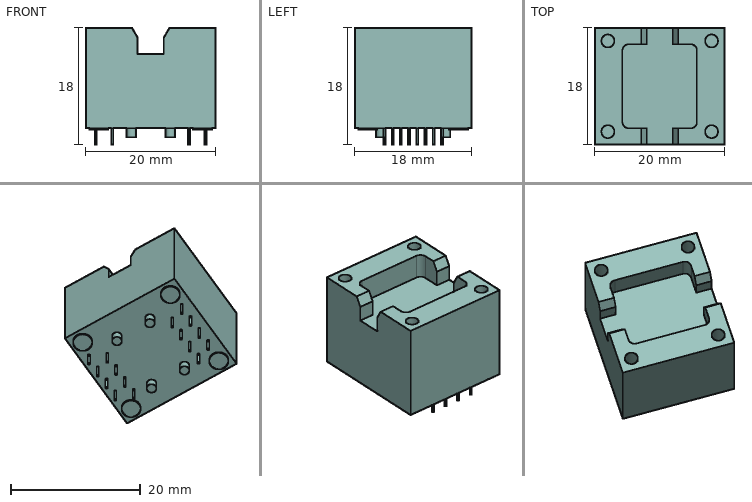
import cadquery as cq
import math

LENGTH = 20.0
WIDTH = 18.0
TOTAL_HEIGHT = 18.0
PIN_LENGTH = 2.55
BODY_HEIGHT = TOTAL_HEIGHT - PIN_LENGTH

POCKET_LENGTH = 11.5
POCKET_WIDTH = 13.0
POCKET_DEPTH = 4.0
POCKET_CORNER_RADIUS = 1.0
SLOT_WIDTH = 4.0
LEAD_IN_DEPTH = 1.5
LEAD_IN_ANGLE = 30.0

CORNER_X = 8.0
CORNER_Y = 7.0
HOLE_DIAMETER = 2.0
HOLE_DEPTH = POCKET_DEPTH
PAD_DIAMETER = 2.95
PAD_HEIGHT = 0.25

PEG_X = 3.0
PEG_Y = 5.0
PEG_DIAMETER = 1.5
PEG_LENGTH = 1.45

PIN_DIAMETER = 0.35
PINS_PER_ROW = 4
PIN_PITCH = 2.55
PIN_STAGGER = PIN_PITCH / 2
OUTER_ROW_X = 8.45
INNER_ROW_X = OUTER_ROW_X - PIN_PITCH

OVERLAP = 0.2


def four_corners(x, y):
    """Points mirrored about both the X and Y axes."""
    return [(side_x * x, side_y * y) for side_x in (-1, 1) for side_y in (-1, 1)]


def hanging_cylinders(points, diameter, length):
    """Cylinders that hang from the underside of the body."""
    return (
        cq.Workplane("XY")
        .workplane(offset=-length)
        .pushPoints(points)
        .circle(diameter / 2)
        .extrude(length + OVERLAP)
    )


def pocket():
    return (
        cq.Workplane("XY")
        .workplane(offset=BODY_HEIGHT - POCKET_DEPTH)
        .rect(POCKET_LENGTH, POCKET_WIDTH)
        .extrude(POCKET_DEPTH)
        .edges("|Z")
        .fillet(POCKET_CORNER_RADIUS)
    )


def slot():
    """Slot along the full width, with its upper edges sloped outwards."""
    half_width = SLOT_WIDTH / 2
    half_mouth = half_width + LEAD_IN_DEPTH * math.tan(math.radians(LEAD_IN_ANGLE))
    floor = BODY_HEIGHT - POCKET_DEPTH
    lead_in_start = BODY_HEIGHT - LEAD_IN_DEPTH
    profile = [
        (-half_width, floor),
        (half_width, floor),
        (half_width, lead_in_start),
        (half_mouth, BODY_HEIGHT),
        (-half_mouth, BODY_HEIGHT),
        (-half_width, lead_in_start),
    ]
    return cq.Workplane("XZ").polyline(profile).close().extrude(WIDTH / 2, both=True)


def pin_points():
    """Pin centres; the outer rows sit half a pitch further towards +Y than the inner rows."""
    points = []
    for row_x, row_shift in ((OUTER_ROW_X, PIN_STAGGER / 2), (INNER_ROW_X, -PIN_STAGGER / 2)):
        for index in range(PINS_PER_ROW):
            y = (index - (PINS_PER_ROW - 1) / 2) * PIN_PITCH + row_shift
            points += [(-row_x, y), (row_x, y)]
    return points


body = cq.Workplane("XY").box(LENGTH, WIDTH, BODY_HEIGHT, centered=(True, True, False))
body = body.cut(pocket()).cut(slot())
body = (
    body.faces(">Z")
    .workplane(origin=(0, 0, BODY_HEIGHT))
    .pushPoints(four_corners(CORNER_X, CORNER_Y))
    .hole(HOLE_DIAMETER, HOLE_DEPTH)
)

pads = hanging_cylinders(four_corners(CORNER_X, CORNER_Y), PAD_DIAMETER, PAD_HEIGHT)
pegs = hanging_cylinders(four_corners(PEG_X, PEG_Y), PEG_DIAMETER, PEG_LENGTH)
pins = hanging_cylinders(pin_points(), PIN_DIAMETER, PIN_LENGTH)

result = body.union(pads).union(pegs).union(pins)